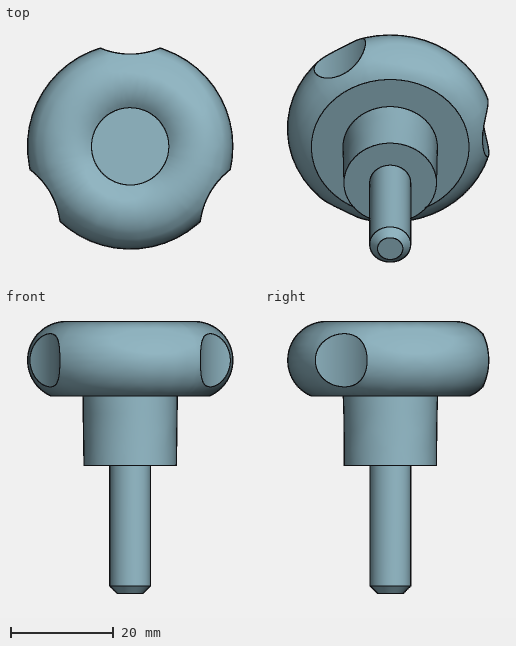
import cadquery as cq
import math

total_height = 52.95
stud_diameter = 8.0
stud_length = 24.9
tip_chamfer = 1.55

hub_bottom_diameter = 18.0
hub_top_diameter = 18.4

head_diameter = 40.0
head_height = 14.55
rim_radius = 7.6
dimple_floor_diameter = 15.05

scallop_count = 3
first_scallop_angle = 90
scallop_radius = 15.0
scallop_floor_distance = 17.95

head_bottom_z = total_height - head_height
rim_center_z = total_height - rim_radius
rim_center_r = head_diameter / 2 - rim_radius


def rim_offset(other_offset):
    """Second coordinate, from the rim circle's center, of a point on that circle."""
    return math.sqrt(rim_radius**2 - other_offset**2)


def make_stud():
    return (
        cq.Workplane("XY")
        .circle(stud_diameter / 2)
        .extrude(stud_length)
        .faces("<Z")
        .chamfer(tip_chamfer)
    )


def make_hub():
    return (
        cq.Workplane("XZ")
        .moveTo(0, stud_length)
        .lineTo(hub_bottom_diameter / 2, stud_length)
        .lineTo(hub_top_diameter / 2, head_bottom_z)
        .lineTo(0, head_bottom_z)
        .close()
        .revolve(360, (0, 0), (0, 1))
    )


def make_head():
    underside_r = rim_center_r + rim_offset(rim_center_z - head_bottom_z)
    dimple_r = dimple_floor_diameter / 2
    dimple_z = rim_center_z + rim_offset(rim_center_r - dimple_r)
    return (
        cq.Workplane("XZ")
        .moveTo(0, head_bottom_z)
        .lineTo(underside_r, head_bottom_z)
        .threePointArc((rim_center_r + rim_radius, rim_center_z), (dimple_r, dimple_z))
        .lineTo(0, dimple_z)
        .close()
        .revolve(360, (0, 0), (0, 1))
    )


def make_scallop_cutters():
    return (
        cq.Workplane("XY", origin=(0, 0, head_bottom_z))
        .polarArray(scallop_floor_distance + scallop_radius, first_scallop_angle, 360, scallop_count)
        .circle(scallop_radius)
        .extrude(head_height)
    )


head = make_head().cut(make_scallop_cutters())
result = make_stud().union(make_hub()).union(head)